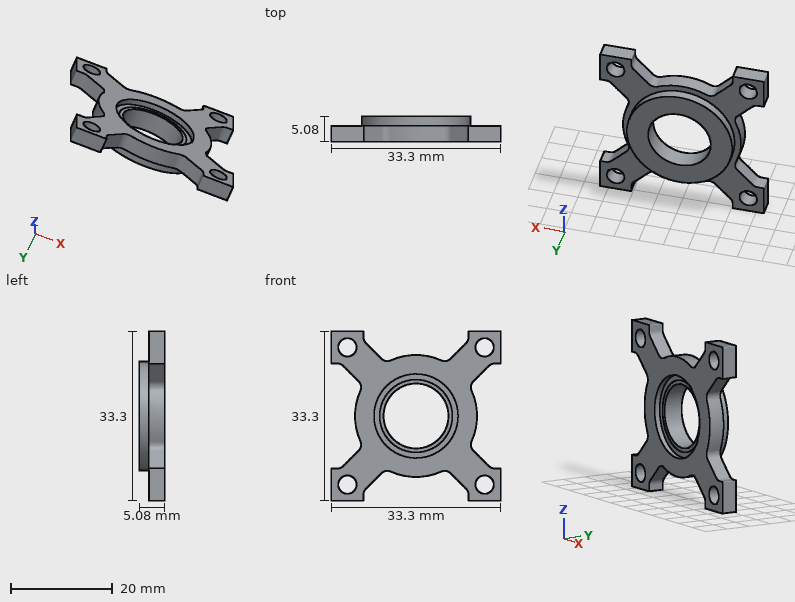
import cadquery as cq
import math

plate_thickness = 3.175
plate_span = 33.274
hub_radius = 12.0
pad_size = 6.35
arm_width = 6.35
arm_end_fillet = 1.5875
pad_corner_radius = 0.127
screw_hole_diameter = 3.556
screw_pitch = plate_span - pad_size

bore_radius = 6.35
lip_radius = 7.14
lip_height = 0.05
barrel_radius = 8.255
barrel_setback = 1.16
flange_radius = 10.7
flange_thickness = 1.905

barrel_front_y = barrel_setback
lip_front_y = barrel_front_y - lip_height
plate_back_y = plate_thickness
flange_back_y = plate_back_y + flange_thickness


def cylinder_y(radius, y_start, y_end):
    """Solid cylinder on the Y axis between two Y positions."""
    return (
        cq.Workplane("XZ", origin=(0, y_start, 0))
        .circle(radius)
        .extrude(y_start - y_end)
    )


def make_arms():
    """Two crossing diagonal bars, each running between opposite pad centres."""
    bar_length = screw_pitch * math.sqrt(2)
    bar = cq.Workplane("XY").box(
        bar_length, plate_thickness, arm_width, centered=(True, False, True)
    )
    rising_bar = bar.rotate((0, 0, 0), (0, 1, 0), -45)
    falling_bar = bar.rotate((0, 0, 0), (0, 1, 0), 45)
    return rising_bar.union(falling_bar)


def make_pads():
    """Four square pads at the outer corners, their outside edges slightly rounded."""
    return (
        cq.Workplane("XZ")
        .rect(screw_pitch, screw_pitch, forConstruction=True)
        .vertices()
        .rect(pad_size, pad_size)
        .extrude(-plate_thickness)
        .edges("|Y")
        .fillet(pad_corner_radius)
    )


def fillet_corners(blank, near, far, radius):
    """Round the eight edges along Y at (±near, ±far) and (±far, ±near) in X and Z."""
    edges = []
    for x_size, z_size in [(near, far), (far, near)]:
        for x_sign in (-1, 1):
            for z_sign in (-1, 1):
                corner = (x_sign * x_size, plate_thickness / 2, z_sign * z_size)
                nearest = cq.selectors.NearestToPointSelector(corner)
                edges.append(blank.edges("|Y").edges(nearest).val())
    return blank.newObject(edges).fillet(radius)


def fillet_arm_ends(blank):
    """Round the inside corners where the arms meet the hub and the pads."""
    arm_offset = arm_width / math.sqrt(2)
    hub_near = (math.sqrt(2 * hub_radius**2 - arm_offset**2) - arm_offset) / 2
    pad_near = plate_span / 2 - pad_size
    blank = fillet_corners(blank, hub_near, hub_near + arm_offset, arm_end_fillet)
    return fillet_corners(blank, pad_near, pad_near + arm_offset, arm_end_fillet)


def make_plate():
    hub = cylinder_y(hub_radius, 0, plate_back_y)
    blank = fillet_arm_ends(hub.union(make_arms()).union(make_pads()))
    screw_holes = (
        cq.Workplane("XZ")
        .rect(screw_pitch, screw_pitch, forConstruction=True)
        .vertices()
        .circle(screw_hole_diameter / 2)
        .extrude(-plate_thickness)
    )
    bushing_hole = cylinder_y(barrel_radius, 0, plate_back_y)
    return blank.cut(screw_holes).cut(bushing_hole)


def make_bushing():
    lip = cylinder_y(lip_radius, lip_front_y, barrel_front_y)
    barrel = cylinder_y(barrel_radius, barrel_front_y, plate_back_y)
    flange = cylinder_y(flange_radius, plate_back_y, flange_back_y)
    bore = cylinder_y(bore_radius, lip_front_y, flange_back_y)
    return lip.union(barrel).union(flange).cut(bore)


plate = make_plate()
bushing = make_bushing()

result = cq.Compound.makeCompound([plate.solids().val(), bushing.solids().val()])